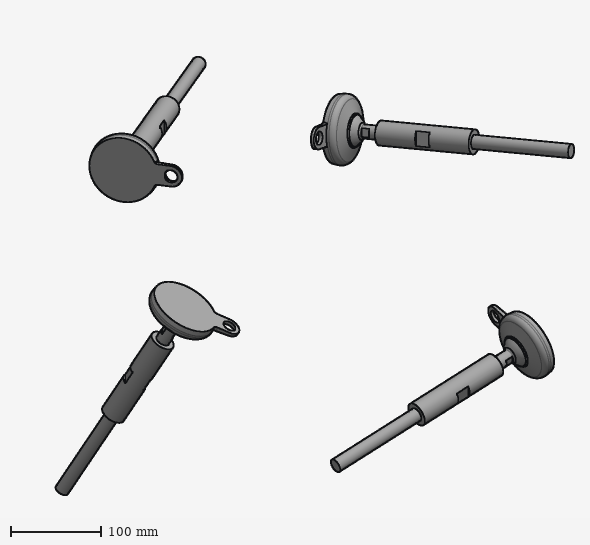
import cadquery as cq
import math

TOTAL_LENGTH = 286.5

FOOT_RADIUS = 39.97
SOLE_RADIUS = 39.1
RIM_BOTTOM_Y = 6.0
RIM_TOP_Y = 8.5
SHOULDER_RADIUS = 7.5
SHOULDER_ANGLE = math.radians(21)
COLLAR_RADIUS = 19.5
COLLAR_Y = 21.5
SEAT_RADIUS = 18.3
SEAT_Y = 23.2

OVERALL_WIDTH = 108.0
LUG_RADIUS = 12.5
LUG_X = OVERALL_WIDTH - FOOT_RADIUS - LUG_RADIUS
LUG_HOLE_DIAMETER = 15.0
LUG_ROOT_FILLET = 5.0
LUG_ROOT_THICKNESS = 5.5
LUG_TIP_THICKNESS = 3.7

SPINDLE_DIAMETER = 16.0
SPINDLE_RADIUS = SPINDLE_DIAMETER / 2
DOME_BASE_RADIUS = 17.8
DOME_RADIUS = 21.2
DOME_CENTER_Y = SEAT_Y - math.sqrt(DOME_RADIUS**2 - DOME_BASE_RADIUS**2)
DOME_TOP_RADIUS = 9.7
DOME_TOP_Y = DOME_CENTER_Y + math.sqrt(DOME_RADIUS**2 - DOME_TOP_RADIUS**2)
NECK_FLARE = DOME_TOP_RADIUS - SPINDLE_RADIUS
SPINDLE_FLATS_START = 33.0
SPINDLE_FLATS_END = 42.5
SPINDLE_ACROSS_FLATS = 12.5

SLEEVE_DIAMETER = 28.0
SLEEVE_START = 52.7
SLEEVE_LENGTH = 115.0
SLEEVE_FLATS_LENGTH = 16.5
SLEEVE_ACROSS_FLATS = 22.3


def revolve_about_y(profile):
    """Revolve a closed XY profile about the Y axis."""
    return profile.close().revolve(360, (0, 0, 0), (0, 1, 0))


def rod_along_y(diameter, start, end):
    """Solid cylinder on the Y axis between two Y positions."""
    plane = cq.Workplane("XZ", origin=(0, start, 0))
    return plane.circle(diameter / 2).extrude(start - end)


def cut_flats(body, diameter, across_flats, start, end):
    """Cut a pair of wrench flats facing -X and +X."""
    depth = (diameter - across_flats) / 2
    offset = (across_flats + depth) / 2
    for side in (-1, 1):
        cutter = cq.Workplane("XY").box(depth, end - start, diameter)
        body = body.cut(cutter.translate((side * offset, (start + end) / 2, 0)))
    return body


def make_lug():
    """Rounded lug, filleted into the disc and thinning towards its tip."""
    fillet_z = LUG_RADIUS + LUG_ROOT_FILLET
    fillet_x = math.sqrt((SOLE_RADIUS + LUG_ROOT_FILLET) ** 2 - fillet_z**2)
    root_angle = math.atan2(fillet_z, fillet_x)
    root_x = SOLE_RADIUS * math.cos(root_angle)
    root_z = SOLE_RADIUS * math.sin(root_angle)
    mid_angle = (root_angle + math.pi / 2) / 2
    mid_x = fillet_x - LUG_ROOT_FILLET * math.cos(mid_angle)
    mid_z = fillet_z - LUG_ROOT_FILLET * math.sin(mid_angle)
    lug_tip_x = LUG_X + LUG_RADIUS

    outline = (
        cq.Workplane("XZ")
        .moveTo(0, 0)
        .lineTo(root_x, root_z)
        .threePointArc((mid_x, mid_z), (fillet_x, LUG_RADIUS))
        .lineTo(LUG_X, LUG_RADIUS)
        .threePointArc((lug_tip_x, 0), (LUG_X, -LUG_RADIUS))
        .lineTo(fillet_x, -LUG_RADIUS)
        .threePointArc((mid_x, -mid_z), (root_x, -root_z))
        .close()
        .extrude(-RIM_BOTTOM_Y)
    )
    tapered_side = (
        cq.Workplane("XY")
        .polyline(
            [
                (0, 0),
                (lug_tip_x, 0),
                (lug_tip_x, LUG_TIP_THICKNESS),
                (FOOT_RADIUS, LUG_ROOT_THICKNESS),
                (0, LUG_ROOT_THICKNESS),
            ]
        )
        .close()
        .extrude(FOOT_RADIUS, both=True)
    )
    return outline.intersect(tapered_side)


def make_foot():
    """Bell-shaped foot with a drilled lug on its +X side."""
    shoulder_center_x = FOOT_RADIUS - SHOULDER_RADIUS

    def shoulder_point(angle):
        x = shoulder_center_x + SHOULDER_RADIUS * math.sin(angle)
        return (x, RIM_TOP_Y + SHOULDER_RADIUS * math.cos(angle))

    bell = revolve_about_y(
        cq.Workplane("XY")
        .moveTo(0, 0)
        .lineTo(SOLE_RADIUS, 0)
        .lineTo(FOOT_RADIUS, RIM_BOTTOM_Y)
        .lineTo(FOOT_RADIUS, RIM_TOP_Y)
        .threePointArc(
            shoulder_point((SHOULDER_ANGLE + math.pi / 2) / 2),
            shoulder_point(SHOULDER_ANGLE),
        )
        .lineTo(COLLAR_RADIUS, COLLAR_Y)
        .lineTo(SEAT_RADIUS, SEAT_Y)
        .lineTo(0, SEAT_Y)
    )
    lug_hole = rod_along_y(LUG_HOLE_DIAMETER, 0, RIM_BOTTOM_Y).translate((LUG_X, 0, 0))
    return bell.union(make_lug()).cut(lug_hole)


def make_spindle():
    """Long rod with a spherical dome, a flared neck and two wrench flats."""
    dome_bottom_angle = math.asin(DOME_BASE_RADIUS / DOME_RADIUS)
    dome_top_angle = math.asin(DOME_TOP_RADIUS / DOME_RADIUS)
    dome_mid_angle = (dome_bottom_angle + dome_top_angle) / 2
    dome_mid_x = DOME_RADIUS * math.sin(dome_mid_angle)
    dome_mid_y = DOME_CENTER_Y + DOME_RADIUS * math.cos(dome_mid_angle)
    flare_offset = NECK_FLARE * (1 - math.sqrt(0.5))

    body = revolve_about_y(
        cq.Workplane("XY")
        .moveTo(0, SEAT_Y)
        .lineTo(DOME_BASE_RADIUS, SEAT_Y)
        .threePointArc((dome_mid_x, dome_mid_y), (DOME_TOP_RADIUS, DOME_TOP_Y))
        .threePointArc(
            (SPINDLE_RADIUS + flare_offset, DOME_TOP_Y + flare_offset),
            (SPINDLE_RADIUS, DOME_TOP_Y + NECK_FLARE),
        )
        .lineTo(SPINDLE_RADIUS, TOTAL_LENGTH)
        .lineTo(0, TOTAL_LENGTH)
    )
    return cut_flats(
        body, SPINDLE_DIAMETER, SPINDLE_ACROSS_FLATS, SPINDLE_FLATS_START, SPINDLE_FLATS_END
    )


def make_sleeve():
    """Sleeve bored to fit the spindle, with wrench flats at mid-length."""
    end = SLEEVE_START + SLEEVE_LENGTH
    middle = SLEEVE_START + SLEEVE_LENGTH / 2
    flats_start = middle - SLEEVE_FLATS_LENGTH / 2
    flats_end = middle + SLEEVE_FLATS_LENGTH / 2
    body = rod_along_y(SLEEVE_DIAMETER, SLEEVE_START, end)
    body = body.cut(rod_along_y(SPINDLE_DIAMETER, SLEEVE_START, end))
    return cut_flats(body, SLEEVE_DIAMETER, SLEEVE_ACROSS_FLATS, flats_start, flats_end)


foot = make_foot()
spindle = make_spindle()
sleeve = make_sleeve()

result = cq.Compound.makeCompound([foot.solids().val(), spindle.solids().val(), sleeve.solids().val()])